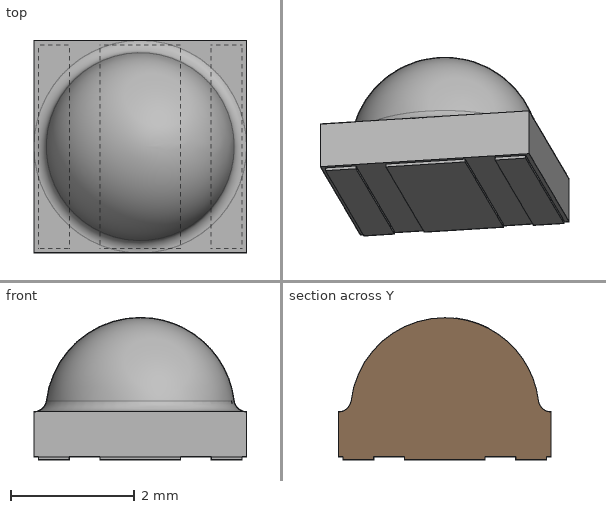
import cadquery as cq
import math

side = 3.45
pad_thickness = 0.05
base_height = 0.735
total_height = 2.31
base_top = pad_thickness + base_height

dome_rim_radius = 1.525
skirt_height = 0.175
skirt_foot_radius = side / 2
rim_z = base_top + skirt_height
dome_rise = total_height - rim_z
dome_radius = (dome_rim_radius**2 + dome_rise**2) / (2 * dome_rise)
dome_center_z = total_height - dome_radius

skirt_width = skirt_foot_radius - dome_rim_radius
skirt_radius = (skirt_width**2 + skirt_height**2) / (2 * skirt_height)
skirt_sweep = math.asin(skirt_width / skirt_radius)

pad_margin = 0.072
pad_length = side - 2 * pad_margin
side_pad_width = 0.505
center_pad_width = 1.31
side_pad_x = (pad_length - side_pad_width) / 2


def make_base():
    base = cq.Workplane("XY").box(side, side, base_height, centered=(True, True, False))
    return base.translate((0, 0, pad_thickness))


def make_lens():
    """Revolve the half profile of the dome and its skirt about Z."""
    dome_mid = (
        dome_radius * math.cos(math.pi / 4),
        dome_center_z + dome_radius * math.sin(math.pi / 4),
    )
    skirt_mid = (
        skirt_foot_radius - skirt_radius * math.sin(skirt_sweep / 2),
        base_top + skirt_radius * (1 - math.cos(skirt_sweep / 2)),
    )
    return (
        cq.Workplane("XZ")
        .moveTo(0, base_top)
        .lineTo(skirt_foot_radius, base_top)
        .threePointArc(skirt_mid, (dome_rim_radius, rim_z))
        .threePointArc(dome_mid, (0, total_height))
        .close()
        .revolve(360, (0, 0, 0), (0, 1, 0))
    )


def make_pad(width, x):
    pad = cq.Workplane("XY").box(width, pad_length, pad_thickness, centered=(True, True, False))
    return pad.translate((x, 0, 0))


result = make_base().union(make_lens())
for width, x in (
    (side_pad_width, -side_pad_x),
    (center_pad_width, 0),
    (side_pad_width, side_pad_x),
):
    result = result.union(make_pad(width, x))